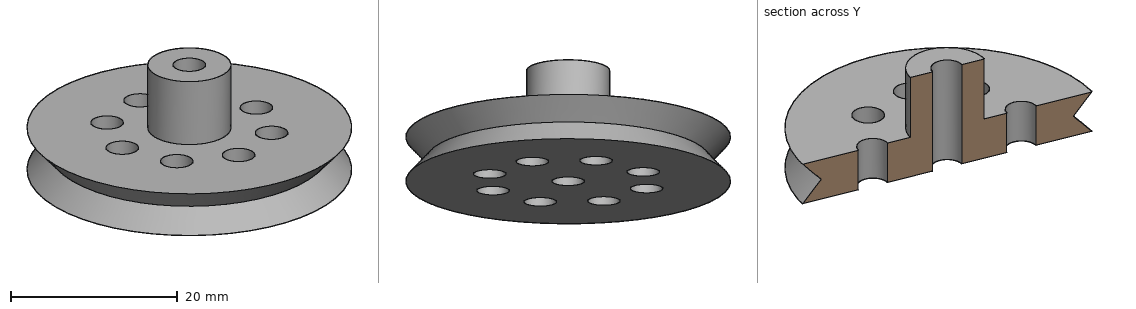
import cadquery as cq

rim_diameter = 39.0
wheel_thickness = 5.5
groove_depth = 2.5
total_height = 13.75
hub_diameter = 10.0
hole_diameter = 3.9
hole_count = 8
hole_circle_diameter = 2 * hub_diameter

rim_radius = rim_diameter / 2
groove_radius = rim_radius - groove_depth


def make_wheel():
    """Revolve the half section of a disc with a V groove around its rim."""
    section = (
        cq.Workplane("XZ")
        .moveTo(0, 0)
        .lineTo(rim_radius, 0)
        .lineTo(groove_radius, wheel_thickness / 2)
        .lineTo(rim_radius, wheel_thickness)
        .lineTo(0, wheel_thickness)
        .close()
    )
    return section.revolve(360, (0, 0, 0), (0, 1, 0))


def make_hub():
    """Cylinder on the wheel axis, running from the bottom face to the full height."""
    return cq.Workplane("XY").circle(hub_diameter / 2).extrude(total_height)


def make_holes():
    """Cutters for the central bore and the ring of through holes."""
    bore = cq.Workplane("XY").circle(hole_diameter / 2).extrude(total_height)
    ring = (
        cq.Workplane("XY")
        .polarArray(hole_circle_diameter / 2, 0, 360, hole_count)
        .circle(hole_diameter / 2)
        .extrude(wheel_thickness)
    )
    return bore.union(ring)


result = make_wheel().union(make_hub()).cut(make_holes())